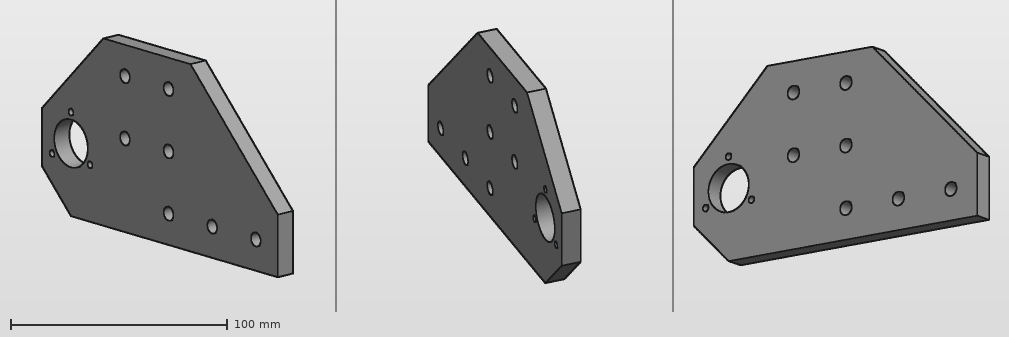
import cadquery as cq

length = 162.0
thickness = 9.5
height = 90.0

lower_left_cut = 20.0
upper_left_cut = 42.1
upper_right_cut = 60.0

mount_diameter = 6.6
mount_pitch = 30.0
mount_edge_distance = 15.0
mount_grid = [(0, 0), (1, 0), (2, 0), (2, 1), (3, 1), (2, 2), (3, 2)]

bore_diameter = 23.0
bore_x = lower_left_cut
bore_z = 35.0
screw_diameter = 3.2
screw_ring_radius = 15.0
screw_count = 3
first_screw_angle = 90


def make_plate():
    """Plate with its front face on Y = 0 and its lower left corner at the origin."""
    outline = [
        (lower_left_cut, 0),
        (length, 0),
        (length, height - upper_right_cut),
        (length - upper_right_cut, height),
        (upper_left_cut, height),
        (0, height - upper_left_cut),
        (0, lower_left_cut),
    ]
    return cq.Workplane("XZ").polyline(outline).close().extrude(-thickness)


def make_mount_holes():
    right_x = length - mount_edge_distance
    centers = [
        (right_x - left * mount_pitch, mount_edge_distance + up * mount_pitch)
        for left, up in mount_grid
    ]
    return cq.Workplane("XZ").pushPoints(centers).circle(mount_diameter / 2).extrude(-thickness)


def make_bore():
    return cq.Workplane("XZ").center(bore_x, bore_z).circle(bore_diameter / 2).extrude(-thickness)


def make_screw_holes():
    return (
        cq.Workplane("XZ")
        .center(bore_x, bore_z)
        .polarArray(screw_ring_radius, first_screw_angle, 360, screw_count)
        .circle(screw_diameter / 2)
        .extrude(-thickness)
    )


result = make_plate().cut(make_mount_holes()).cut(make_bore()).cut(make_screw_holes())